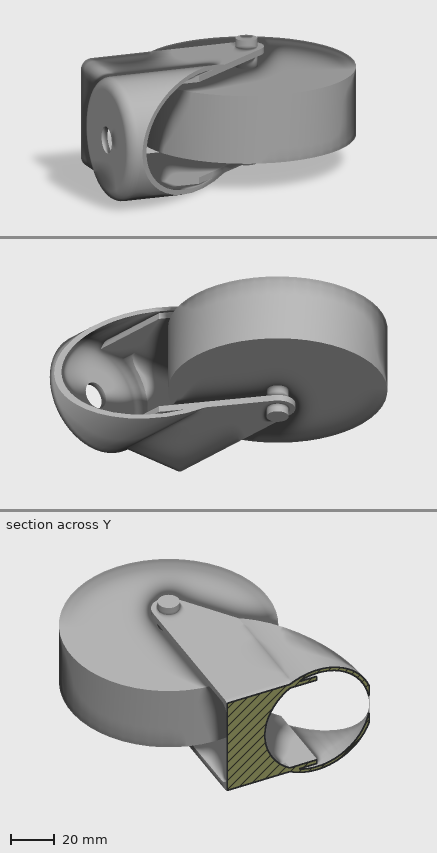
import cadquery as cq
import math

wheel_radius = 50.0
wheel_width = 32.0
axle_diameter = 10.0
axle_length = 59.0

fork_height = 51.0
fork_thickness = 3.0
fork_bend_radius = 5.0
lug_radius = 8.0
fork_end_y = -78.0

socket_radius = 28.5
socket_wall = 2.0
socket_floor_thickness = 3.0
socket_axis_x = 37.9
socket_end_y = -84.0
socket_edge_radius = 5.0
bolt_hole_diameter = 12.5

socket_right_x = socket_axis_x + socket_radius
fork_inner_end_y = fork_end_y + fork_thickness
fork_inner_height = fork_height - 2 * fork_thickness
enclosing_radius = math.hypot(socket_right_x, socket_end_y)

slope_angle = math.atan2(-fork_end_y, -socket_right_x) - math.asin(
    lug_radius / math.hypot(socket_right_x, fork_end_y)
)
normal_angle = slope_angle - math.pi / 2
tangent_point = (lug_radius * math.cos(normal_angle), lug_radius * math.sin(normal_angle))
lug_top_angle = (normal_angle + math.pi) / 2
lug_top = (lug_radius * math.cos(lug_top_angle), lug_radius * math.sin(lug_top_angle))


def z_cylinder(radius, length):
    """Cylinder along Z, centred on the axle."""
    return cq.Workplane("XY", origin=(0, 0, -length / 2)).circle(radius).extrude(length)


def socket_cylinder(radius, start_y, end_y):
    """Cylinder on the socket axis between two Y positions."""
    plane = cq.Workplane("XZ", origin=(socket_axis_x, start_y, 0))
    return plane.circle(radius).extrude(start_y - end_y)


def fork_block(end_y, height, right_x):
    """Bar along the fork with its two closed-end bends rounded."""
    width = right_x + lug_radius
    length = lug_radius - end_y
    block = cq.Workplane("XY").box(width, length, height, centered=(False, False, True))
    block = block.translate((-lug_radius, end_y, 0))
    return block.edges("|X and <Y").fillet(fork_bend_radius)


def side_profile():
    """Fork and socket outline seen along Z, bounded by the lug and the sloping edge."""
    outline = (
        cq.Workplane("XY")
        .moveTo(-lug_radius, socket_end_y)
        .lineTo(socket_right_x, socket_end_y)
        .lineTo(socket_right_x, fork_end_y)
        .lineTo(*tangent_point)
        .threePointArc(lug_top, (-lug_radius, 0))
        .close()
    )
    return outline.extrude(axle_length).translate((0, 0, -axle_length / 2))


def socket_cup(radius, floor_y, edge_radius):
    """Socket-shaped plug with a rounded rim around its floor."""
    cup = socket_cylinder(radius, lug_radius, floor_y)
    return cup.faces("<Y").edges().fillet(edge_radius)


def housing():
    """Bent fork joined to the hollow socket, trimmed along the sloping edge."""
    outside = socket_cup(socket_radius, socket_end_y, socket_edge_radius)
    hollow = socket_cup(
        socket_radius - socket_wall,
        socket_end_y + socket_floor_thickness,
        socket_edge_radius - socket_wall,
    )
    fork_outside = fork_block(fork_end_y, fork_height, socket_axis_x)
    fork_inside = fork_block(fork_inner_end_y, fork_inner_height, socket_axis_x)

    end_opening = hollow.intersect(z_cylinder(enclosing_radius, fork_inner_height))
    socket = outside.cut(hollow).cut(fork_outside)
    fork = fork_outside.cut(fork_inside).cut(end_opening)
    bolt_hole = socket_cylinder(bolt_hole_diameter / 2, fork_inner_end_y, socket_end_y)
    return socket.union(fork).cut(bolt_hole).intersect(side_profile())


wheel = z_cylinder(wheel_radius, wheel_width)
axle = z_cylinder(axle_diameter / 2, axle_length)
result = housing().union(axle).union(wheel)